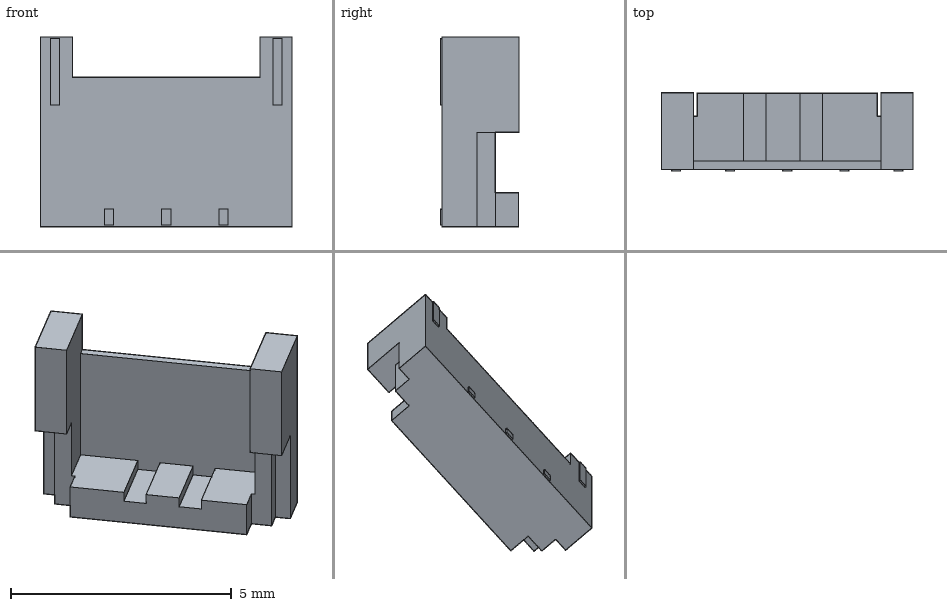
import cadquery as cq

width = 5.7
height = 4.3
depth = 1.745

wall_thickness = 0.2
wall_height = 3.385
arm_width = 0.73
arm_bottom = 2.14

outer_side_depth = 0.79
side_depth = 1.21
side_inset = 0.34

floor_height = 0.775
floor_depth = 1.73
floor_inset = 0.81

groove_starts = (1.86, 3.135)
groove_width = 0.515
groove_depth = 0.23

pad_width = 0.205
pad_thickness = 0.035
arm_pad_inset = 0.235
arm_pad_bottom = 2.755
arm_pad_top = 4.26
contact_pitch = 1.295
contact_bottom = 0.04
contact_top = 0.4


def block(x_range, y_range, z_range):
    """Box spanning the given start and end along each axis."""
    ranges = (x_range, y_range, z_range)
    size = [end - start for start, end in ranges]
    start_corner = tuple(start for start, end in ranges)
    return cq.Workplane("XY").box(*size, centered=False).translate(start_corner)


def side(mirrored):
    """Arm and lower side wall at one end of the housing."""
    body = block((0, arm_width), (0, depth), (arm_bottom, height))
    body = body.union(block((0, arm_width), (0, outer_side_depth), (0, arm_bottom)))
    body = body.union(block((side_inset, arm_width), (0, side_depth), (0, arm_bottom)))
    if mirrored:
        body = body.mirror("YZ", (width / 2, 0, 0))
    return body


def floor():
    """Grooved cavity floor with a narrower rear lip."""
    body = block((arm_width, width - arm_width), (0, side_depth), (0, floor_height))
    body = body.union(block((floor_inset, width - floor_inset), (0, floor_depth), (0, floor_height)))
    for start in groove_starts:
        groove = block(
            (start, start + groove_width),
            (wall_thickness, floor_depth),
            (floor_height - groove_depth, floor_height),
        )
        body = body.cut(groove)
    return body


def pad(center_x, bottom, top):
    """Thin rectangular pad standing on the front face."""
    half_width = pad_width / 2
    return block((center_x - half_width, center_x + half_width), (-pad_thickness, 0), (bottom, top))


front_wall = block((arm_width, width - arm_width), (0, wall_thickness), (0, wall_height))
result = front_wall.union(floor()).union(side(False)).union(side(True))

arm_pad_center = arm_pad_inset + pad_width / 2
for center_x in (arm_pad_center, width - arm_pad_center):
    result = result.union(pad(center_x, arm_pad_bottom, arm_pad_top))

for step in (-1, 0, 1):
    result = result.union(pad(width / 2 + step * contact_pitch, contact_bottom, contact_top))